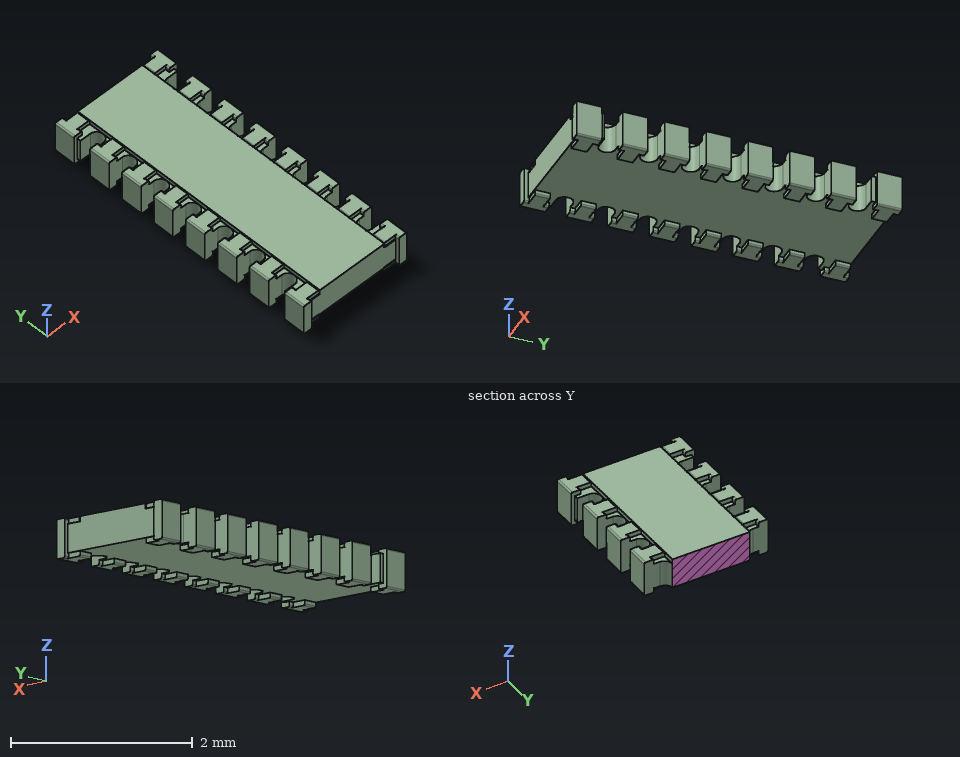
import cadquery as cq

WIDTH = 1.6
LENGTH = 3.9
HEIGHT = 0.45

PAD_THICKNESS = 0.06
SIDE_THICKNESS = 0.05
TERMINAL_WIDTH = 0.30
WALL_DEPTH = 0.125
TONGUE_REACH = 0.30
TONGUE_INSET = 0.06
EDGE_RADIUS = 0.02
TONGUE_WIDTH = TERMINAL_WIDTH - 2 * TONGUE_INSET

PITCH = 0.5
INNER_COUNT = 6
END_TERMINAL_Y = (LENGTH - TERMINAL_WIDTH) / 2
INNER_TERMINAL_YS = [(i - (INNER_COUNT - 1) / 2) * PITCH for i in range(INNER_COUNT)]
TERMINAL_YS = [-END_TERMINAL_Y] + INNER_TERMINAL_YS + [END_TERMINAL_Y]

END_RECESS = 0.05
BODY_WIDTH = WIDTH - 2 * SIDE_THICKNESS
BODY_LENGTH = LENGTH - 2 * END_RECESS
BODY_HEIGHT = HEIGHT - 2 * PAD_THICKNESS

NOTCH_WIDTH = PITCH - TERMINAL_WIDTH
NOTCH_COUNT = INNER_COUNT + 1
NOTCH_YS = [(i - (NOTCH_COUNT - 1) / 2) * PITCH for i in range(NOTCH_COUNT)]

COATING_WIDTH = WIDTH - 2 * TONGUE_REACH


def make_notch_cutters():
    """Vertical slots whose round ends touch the coating edge on both sides."""
    slot_length = WIDTH - COATING_WIDTH
    centres = [(side * WIDTH / 2, y) for side in (-1, 1) for y in NOTCH_YS]
    return cq.Workplane("XY").pushPoints(centres).slot2D(slot_length, NOTCH_WIDTH).extrude(HEIGHT)


def make_body():
    """Notched ceramic plate raised above the lower tongues."""
    plate = (
        cq.Workplane("XY")
        .workplane(offset=PAD_THICKNESS)
        .rect(BODY_WIDTH, BODY_LENGTH)
        .extrude(BODY_HEIGHT)
    )
    return plate.cut(make_notch_cutters())


def make_coating():
    """Flat layer on top of the body, level with the terminal tops."""
    return (
        cq.Workplane("XY")
        .workplane(offset=PAD_THICKNESS + BODY_HEIGHT)
        .rect(COATING_WIDTH, BODY_LENGTH)
        .extrude(PAD_THICKNESS)
    )


def make_left_terminal():
    """Terminal on the -X side, centred on Y = 0: upright wall plus upper and lower tongues."""
    outer_x = -WIDTH / 2
    wall = (
        cq.Workplane("XY")
        .box(WALL_DEPTH, TERMINAL_WIDTH, HEIGHT, centered=(False, True, False))
        .edges("|Y")
        .fillet(EDGE_RADIUS)
        .translate((outer_x, 0, 0))
    )
    tongues = (
        cq.Workplane("XY")
        .box(TONGUE_REACH, TONGUE_WIDTH, HEIGHT, centered=(False, True, False))
        .edges("|Y")
        .fillet(EDGE_RADIUS)
        .translate((outer_x, 0, 0))
    )
    body_gap = (
        cq.Workplane("XY")
        .box(TONGUE_REACH - SIDE_THICKNESS, TONGUE_WIDTH, BODY_HEIGHT, centered=(False, True, False))
        .translate((outer_x + SIDE_THICKNESS, 0, PAD_THICKNESS))
    )
    return wall.union(tongues.cut(body_gap))


def make_part():
    part = make_body().union(make_coating())
    left_terminal = make_left_terminal()
    right_terminal = left_terminal.mirror("YZ")
    for y in TERMINAL_YS:
        part = part.union(left_terminal.translate((0, y, 0)))
        part = part.union(right_terminal.translate((0, y, 0)))
    return part


result = make_part()